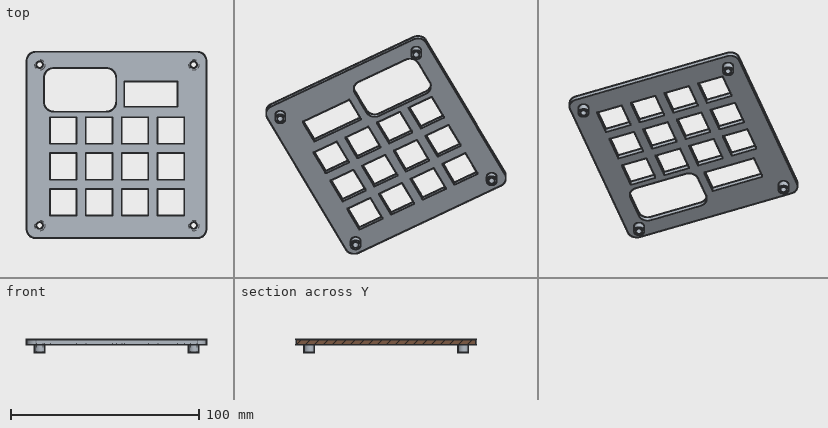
import cadquery as cq

PLATE_WIDTH = 95.68
PLATE_DEPTH = 99.1
PLATE_THICKNESS = 3.0
PLATE_CORNER_RADIUS = 5.0

POST_SPACING_X = 81.8
POST_SPACING_Y = 85.4
POST_PATTERN_CENTER = (0.06, -0.06)
POST_DIAMETER = 5.5
POST_HEIGHT = 4.0
SCREW_HOLE_DIAMETER = 3.4

KEY_SIZE = 14.0
KEY_PITCH = 19.05
KEY_COLUMNS = 4
KEY_ROWS = 3
KEY_GRID_CENTER = (0.32, -11.4)

WINDOW_WIDTH = 38.2
WINDOW_DEPTH = 23.0
WINDOW_CORNER_RADIUS = 5.0
WINDOW_CENTER = (-19.35, 29.25)

SLOT_WIDTH = 28.2
SLOT_DEPTH = 13.3
SLOT_CENTER = (18.25, 26.95)


def at_corners(workplane):
    """Place points at the four post positions."""
    pattern = workplane.center(*POST_PATTERN_CENTER)
    return pattern.rect(POST_SPACING_X, POST_SPACING_Y, forConstruction=True).vertices()


def make_plate():
    """Flat plate with rounded vertical corners."""
    plate = cq.Workplane("XY").rect(PLATE_WIDTH, PLATE_DEPTH).extrude(PLATE_THICKNESS)
    return plate.edges("|Z").fillet(PLATE_CORNER_RADIUS)


def make_posts():
    """Round posts hanging below the plate."""
    return at_corners(cq.Workplane("XY")).circle(POST_DIAMETER / 2).extrude(-POST_HEIGHT)


def make_screw_holes():
    """Cylinders that pass through the plate and the posts."""
    base = cq.Workplane("XY").workplane(offset=-POST_HEIGHT)
    return at_corners(base).circle(SCREW_HOLE_DIAMETER / 2).extrude(POST_HEIGHT + PLATE_THICKNESS)


def make_key_openings():
    """Square prisms on the key grid."""
    grid = cq.Workplane("XY").center(*KEY_GRID_CENTER)
    grid = grid.rarray(KEY_PITCH, KEY_PITCH, KEY_COLUMNS, KEY_ROWS)
    return grid.rect(KEY_SIZE, KEY_SIZE).extrude(PLATE_THICKNESS)


def make_window():
    """Prism for the large opening with rounded corners."""
    window = cq.Workplane("XY").center(*WINDOW_CENTER).rect(WINDOW_WIDTH, WINDOW_DEPTH)
    return window.extrude(PLATE_THICKNESS).edges("|Z").fillet(WINDOW_CORNER_RADIUS)


def make_slot():
    """Prism for the sharp-cornered rectangular opening."""
    slot = cq.Workplane("XY").center(*SLOT_CENTER).rect(SLOT_WIDTH, SLOT_DEPTH)
    return slot.extrude(PLATE_THICKNESS)


result = make_plate().union(make_posts())
for cutter in (make_screw_holes(), make_key_openings(), make_window(), make_slot()):
    result = result.cut(cutter)